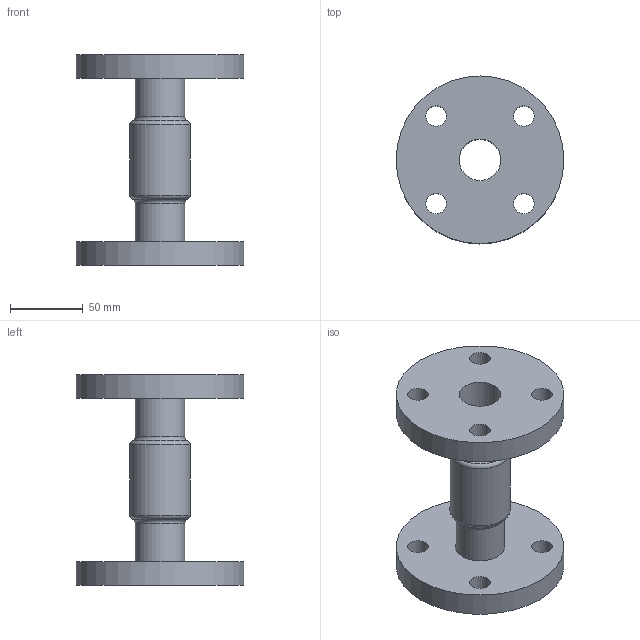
import cadquery as cq
import math

total_length = 144.0
flange_diameter = 115.0
flange_thickness = 16.0

bolt_circle_diameter = 85.0
bolt_hole_diameter = 14.0
bolt_hole_count = 4
first_bolt_angle = 45.0

bore_diameter = 28.5
pipe_diameter = 33.7
sleeve_diameter = 41.5
sleeve_straight_length = 48.0
shoulder_length = 5.5

pipe_radius = pipe_diameter / 2
sleeve_radius = sleeve_diameter / 2
half_length = total_length / 2
sleeve_end = sleeve_straight_length / 2
shoulder_end = sleeve_end + shoulder_length
shoulder_middle = (sleeve_end + shoulder_end) / 2
middle_radius = (pipe_radius + sleeve_radius) / 2

arc_angle = 2 * math.atan((sleeve_radius - pipe_radius) / shoulder_length)
arc_radius = shoulder_length / 2 / math.sin(arc_angle)


def make_flange(bottom):
    """Flange disc whose lower face lies at the height `bottom`, with its bolt holes."""
    disc = cq.Workplane("XY", origin=(0, 0, bottom)).circle(flange_diameter / 2).extrude(flange_thickness)
    bolt_holes = (
        cq.Workplane("XY", origin=(0, 0, bottom))
        .polarArray(bolt_circle_diameter / 2, first_bolt_angle, 360, bolt_hole_count)
        .circle(bolt_hole_diameter / 2)
        .extrude(flange_thickness)
    )
    return disc.cut(bolt_holes)


def make_body():
    """Solid pipe with the wider sleeve at mid-length, revolved about Z."""
    return (
        cq.Workplane("XZ")
        .moveTo(0, -half_length)
        .lineTo(pipe_radius, -half_length)
        .lineTo(pipe_radius, -shoulder_end)
        .radiusArc((middle_radius, -shoulder_middle), arc_radius)
        .radiusArc((sleeve_radius, -sleeve_end), -arc_radius)
        .lineTo(sleeve_radius, sleeve_end)
        .radiusArc((middle_radius, shoulder_middle), -arc_radius)
        .radiusArc((pipe_radius, shoulder_end), arc_radius)
        .lineTo(pipe_radius, half_length)
        .lineTo(0, half_length)
        .close()
        .revolve(360, (0, 0, 0), (0, 1, 0))
    )


def make_bore():
    """Straight bore through the full length."""
    return cq.Workplane("XY", origin=(0, 0, -half_length)).circle(bore_diameter / 2).extrude(total_length)


result = make_body()
for flange_bottom in (-half_length, half_length - flange_thickness):
    result = result.union(make_flange(flange_bottom))
result = result.cut(make_bore())